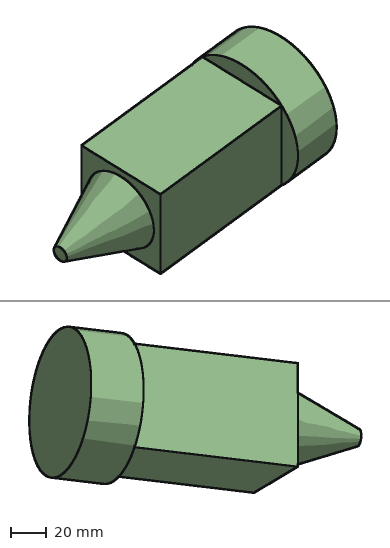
import cadquery as cq

total_length = 182.0
head_diameter = 85.0
head_length = 32.0
shank_side = 60.0
tip_length = 50.0
tip_base_diameter = 50.0
tip_end_diameter = 10.0

shank_length = total_length - head_length - tip_length

head = cq.Workplane("XZ").circle(head_diameter / 2).extrude(head_length)

shank = (
    cq.Workplane("XZ", origin=(0, -head_length, 0))
    .rect(shank_side, shank_side)
    .extrude(shank_length)
)

tip_start = -(head_length + shank_length)
tip = cq.Workplane(
    cq.Solid.makeCone(
        tip_base_diameter / 2,
        tip_end_diameter / 2,
        tip_length,
        pnt=cq.Vector(0, tip_start, 0),
        dir=cq.Vector(0, -1, 0),
    )
)

result = head.union(shank).union(tip)